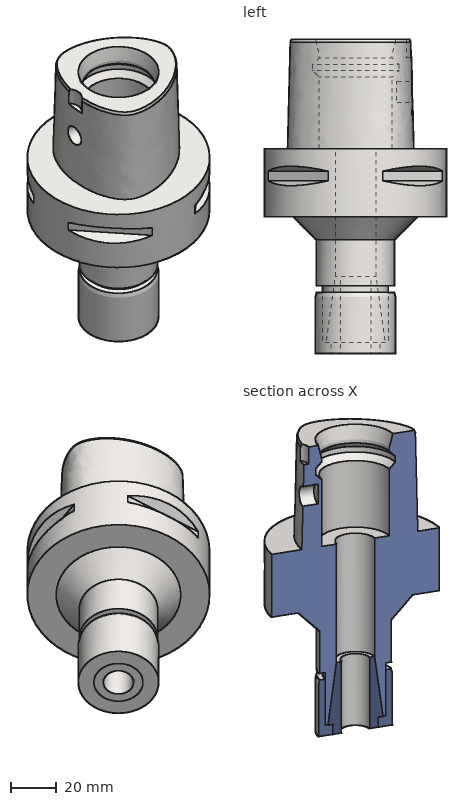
import cadquery as cq
import math

total_height = 138.0
flange_top = 90.0
flange_bottom = 60.0
neck_top = 50.0
neck_bottom = 29.8
nut_height = 26.9

flange_radius = 40.0
neck_radius = 17.2
cone_radius = neck_radius + (flange_bottom - neck_top)
shank_radius = 14.5

taper_radius = 27.7
lobe_height = 2.1
outline_points = 24
taper_slope = 1 / 40
edge_height = 1.4
edge_width = 0.5

mouth_radius = 17.7
socket_radius = 16.0
mouth_depth = 6.5
undercut_start = 8.1
undercut_end = 16.5
undercut_depth = 2.9
socket_floor = flange_top

keyway_radius = 6.1
keyway_offset = 28.4
keyway_depth = 8.0
side_hole_radius = 4.5
side_hole_height = 115.0
side_hole_floor = 18.0

notch_count = 4
notch_first_angle = 45.0
notch_height = 78.0
notch_floor_distance = 35.5
notch_floor_width = 4.1
notch_mouth_width = 8.5

nut_radius = 17.7
nut_edge_height = 2.1
nut_edge_width = 0.5
nut_lip = 5.0

collet_bore_radius = 6.6
collet_top_radius = 9.0
collet_shoulder_radius = 13.0
collet_nose_radius = 10.8
collet_height = 34.0


def turned(profile):
    """Revolve a closed outline of (radius, height) points about the Z axis."""
    outline = [(-radius, height) for radius, height in profile]
    return cq.Workplane("YZ").polyline(outline).close().revolve(360, (0, 0, 0), (0, 1, 0))


def lobed_outline(mean_radius, height):
    """Closed constant-width curve with three lobes, one of them toward +Y."""
    points = []
    for i in range(outline_points):
        angle = 2 * math.pi * i / outline_points - math.pi / 2
        reach = mean_radius - lobe_height * math.sin(3 * angle)
        slide = -3 * lobe_height * math.cos(3 * angle)
        x = reach * math.cos(angle) - slide * math.sin(angle)
        y = reach * math.sin(angle) + slide * math.cos(angle)
        points.append(cq.Vector(x, y, height))
    return cq.Wire.assembleEdges([cq.Edge.makeSpline(points, periodic=True)])


def taper_shank():
    """Tapered lobed shank with a bevelled top edge."""
    edge_start = total_height - edge_height
    edge_radius = taper_radius - (edge_start - flange_top) * taper_slope
    base = lobed_outline(taper_radius, flange_top)
    edge = lobed_outline(edge_radius, edge_start)
    top = lobed_outline(edge_radius - edge_width, total_height)
    body = cq.Solid.makeLoft([base, edge], True)
    bevel = cq.Solid.makeLoft([edge, top], True)
    return cq.Workplane(body).union(cq.Workplane(bevel))


def socket():
    """Stepped bore with a tapered mouth and an undercut ring."""
    undercut_radius = socket_radius + undercut_depth
    return turned([
        (0, total_height),
        (mouth_radius, total_height),
        (socket_radius, total_height - mouth_depth),
        (socket_radius, total_height - undercut_start),
        (undercut_radius, total_height - undercut_start - undercut_depth),
        (undercut_radius, total_height - undercut_end + undercut_depth),
        (socket_radius, total_height - undercut_end),
        (socket_radius, socket_floor),
        (0, socket_floor),
    ])


def keyway():
    """Round upright groove running down from the top face."""
    return (
        cq.Workplane("XY", origin=(0, -keyway_offset, total_height - keyway_depth))
        .circle(keyway_radius)
        .extrude(keyway_depth)
    )


def side_hole():
    """Round blind hole entering from -Y."""
    return (
        cq.Workplane("XZ", origin=(0, -side_hole_floor, side_hole_height))
        .circle(side_hole_radius)
        .extrude(flange_radius - side_hole_floor)
    )


def gripper_notch(angle):
    """Straight notch with a flat floor and sloping sides, cut across the flange rim."""
    half_floor = notch_floor_width / 2
    half_mouth = notch_mouth_width / 2
    return (
        cq.Workplane("XZ", origin=(0, 0, notch_height))
        .polyline([
            (notch_floor_distance, -half_floor),
            (flange_radius, -half_mouth),
            (flange_radius, half_mouth),
            (notch_floor_distance, half_floor),
        ])
        .close()
        .extrude(flange_radius, both=True)
        .rotate((0, 0, 0), (0, 0, 1), angle)
    )


def make_holder():
    """Lobed shank, flange, cone and neck, bored for the collet."""
    body = turned([
        (0, flange_top),
        (flange_radius, flange_top),
        (flange_radius, flange_bottom),
        (cone_radius, flange_bottom),
        (neck_radius, neck_top),
        (neck_radius, neck_bottom),
        (shank_radius, neck_bottom),
        (shank_radius, nut_lip),
        (0, nut_lip),
    ])
    collet_seat = turned([
        (0, socket_floor),
        (collet_top_radius, socket_floor),
        (collet_top_radius, collet_height),
        (collet_shoulder_radius, nut_lip),
        (0, nut_lip),
    ])
    body = body.union(taper_shank())
    body = body.cut(socket()).cut(collet_seat).cut(keyway()).cut(side_hole())
    for i in range(notch_count):
        body = body.cut(gripper_notch(notch_first_angle + i * 360 / notch_count))
    return body


def make_nut():
    """Cap around the shank, with a lip under the collet shoulder."""
    return turned([
        (collet_nose_radius, 0),
        (nut_radius, 0),
        (nut_radius, nut_height - nut_edge_height),
        (nut_radius - nut_edge_width, nut_height),
        (shank_radius, nut_height),
        (shank_radius, nut_lip),
        (collet_nose_radius, nut_lip),
    ])


def make_collet():
    """Tapered sleeve seated in the holder, with its nose in the nut's lip."""
    return turned([
        (collet_bore_radius, 0),
        (collet_nose_radius, 0),
        (collet_nose_radius, nut_lip),
        (collet_shoulder_radius, nut_lip),
        (collet_top_radius, collet_height),
        (collet_bore_radius, collet_height),
    ])


holder = make_holder()
nut = make_nut()
collet = make_collet()

result = cq.Compound.makeCompound([holder.val(), nut.val(), collet.val()])